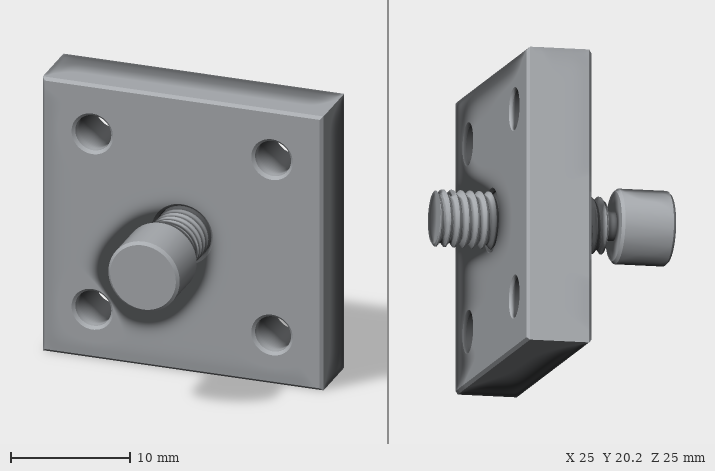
import cadquery as cq

PLATE_SIDE = 24.99
PLATE_THICKNESS = 5.59
PLATE_CHAMFER = 0.25

HOLE_SPACING = 16.0
HOLE_DIAMETER = 3.2
BORE_DIAMETER = 5.0
HOLE_CHAMFER = 0.25

THREAD_DIAMETER = 4.83
THREAD_PITCH = 0.794
THREAD_DEPTH = 0.36
CREST_WIDTH = THREAD_PITCH / 8
ROOT_WIDTH = THREAD_PITCH / 8
GROOVE_OFFSET = 0.283
GROOVE_OVERCUT = 0.02

ROD_FRONT = -4.06
ROD_BACK = PLATE_THICKNESS + 4.94
NECK_DIAMETER = 2.5
NECK_LENGTH = 0.92

CAP_DIAMETER = 6.35
CAP_LENGTH = 4.68
CAP_CHAMFER = 0.25

CREST_RADIUS = THREAD_DIAMETER / 2
NECK_FRONT = ROD_FRONT - NECK_LENGTH
CAP_FRONT = NECK_FRONT - CAP_LENGTH


def cylinder(diameter, y_start, y_end):
    """A cylinder on the Y axis from y_start to y_end."""
    return cq.Workplane("XZ", origin=(0, y_start, 0)).circle(diameter / 2).extrude(y_start - y_end)


def thread_groove():
    """Right-handed helical groove that overruns both ends of the thread."""
    length = ROD_BACK - ROD_FRONT + 2 * THREAD_PITCH
    groove_half = (THREAD_PITCH - CREST_WIDTH) / 2
    root_half = ROOT_WIDTH / 2
    flank_slope = (groove_half - root_half) / THREAD_DEPTH
    outer_half = groove_half + flank_slope * GROOVE_OVERCUT
    root_radius = CREST_RADIUS - THREAD_DEPTH
    outer_radius = CREST_RADIUS + GROOVE_OVERCUT
    helix = cq.Wire.makeHelix(THREAD_PITCH, length, root_radius)
    groove = (
        cq.Workplane("XZ")
        .polyline(
            [
                (root_radius, -root_half),
                (outer_radius, -outer_half),
                (outer_radius, outer_half),
                (root_radius, root_half),
            ]
        )
        .close()
        .sweep(cq.Workplane(obj=helix), isFrenet=True)
    )
    helix_start = ROD_FRONT + GROOVE_OFFSET - THREAD_PITCH
    return groove.rotate((0, 0, 0), (1, 0, 0), -90).translate((0, helix_start, 0))


def chamfered_bore(diameter, chamfer):
    """Cutter for a hole through the plate with both mouths chamfered."""
    wall_radius = diameter / 2
    mouth_radius = wall_radius + chamfer
    return (
        cq.Workplane("XY")
        .moveTo(0, 0)
        .lineTo(mouth_radius, 0)
        .lineTo(wall_radius, chamfer)
        .lineTo(wall_radius, PLATE_THICKNESS - chamfer)
        .lineTo(mouth_radius, PLATE_THICKNESS)
        .lineTo(0, PLATE_THICKNESS)
        .close()
        .revolve(360, (0, 0, 0), (0, 1, 0))
    )


def make_plate():
    """Square plate with four mounting holes and a clearance bore for the rod."""
    plate = cq.Workplane("XY").box(PLATE_SIDE, PLATE_THICKNESS, PLATE_SIDE)
    plate = plate.translate((0, PLATE_THICKNESS / 2, 0)).faces("<Y or >Y").chamfer(PLATE_CHAMFER)
    for x_side in (-1, 1):
        for z_side in (-1, 1):
            offset = (x_side * HOLE_SPACING / 2, 0, z_side * HOLE_SPACING / 2)
            plate = plate.cut(chamfered_bore(HOLE_DIAMETER, HOLE_CHAMFER).translate(offset))
    return plate.cut(chamfered_bore(BORE_DIAMETER, HOLE_CHAMFER))


def make_rod():
    """Threaded rod with a plain neck at its front end."""
    blank_overrun = 3 * THREAD_PITCH
    blank = cylinder(THREAD_DIAMETER, ROD_FRONT - blank_overrun, ROD_BACK + blank_overrun)
    grooved_blank = blank.cut(thread_groove(), clean=False)
    trimming_envelope = cylinder(2 * THREAD_DIAMETER, ROD_FRONT, ROD_BACK)
    thread = grooved_blank.intersect(trimming_envelope, clean=False)
    return thread.union(cylinder(NECK_DIAMETER, NECK_FRONT, ROD_FRONT), clean=False)


def make_cap():
    """Round cap with both rims chamfered, butted against the neck."""
    return cylinder(CAP_DIAMETER, CAP_FRONT, NECK_FRONT).faces("<Y or >Y").chamfer(CAP_CHAMFER)


plate = make_plate()
rod = make_rod()
cap = make_cap()

result = cq.Compound.makeCompound([plate.val(), rod.val(), cap.val()])